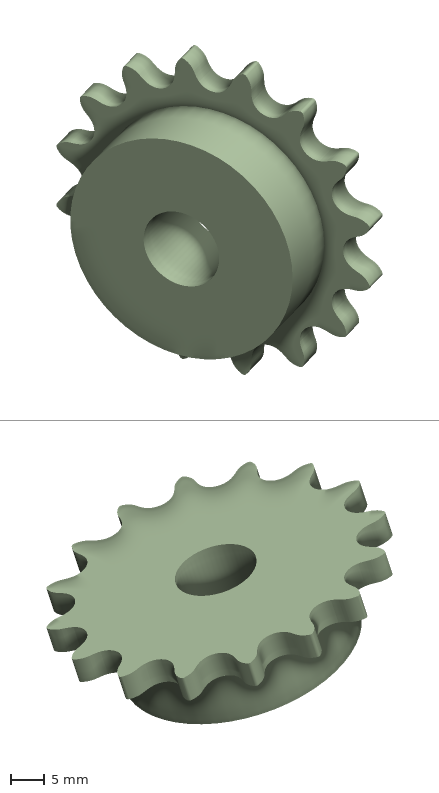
import cadquery as cq
import math


TOOTH_COUNT = 16
TOTAL_WIDTH = 14.8
DISC_WIDTH = 4.25
HUB_DIAMETER = 37.4
BORE_DIAMETER = 12.7

ROOT_RADIUS = 21.85
SEATING_RADIUS = 3.0
WORKING_RADIUS = 4.75
FLANK_LENGTH = 0.7
TOPPING_RADIUS = 3.3
TIP_ROUNDING_RADIUS = 0.55

SEATING_ANGLE = 35 + 60 / TOOTH_COUNT
WORKING_SWEEP = 18 - 56 / TOOTH_COUNT
FLANK_ANGLE = SEATING_ANGLE - WORKING_SWEEP

PITCH_ANGLE = 360 / TOOTH_COUNT
TOOTH_DIRECTION = 90 - PITCH_ANGLE / 2
AXIS = (0, 0)


def polar(center, radius, degrees):
    """Point at the given radius and direction from a center."""
    angle = math.radians(degrees)
    return (center[0] + radius * math.cos(angle), center[1] + radius * math.sin(angle))


def direction(start, end):
    """Direction in degrees from one point to another."""
    return math.degrees(math.atan2(end[1] - start[1], end[0] - start[0]))


def turned(point, degrees):
    """Point rotated about the sprocket axis."""
    return polar(AXIS, math.hypot(*point), direction(AXIS, point) + degrees)


def tip_rounding_center(topping_center):
    """Point on the tooth centerline whose rounding circle touches the topping arc from inside."""
    distance = math.hypot(*topping_center)
    offset = math.radians(direction(AXIS, topping_center) - TOOTH_DIRECTION)
    along = distance * math.cos(offset)
    across = distance * math.sin(offset)
    reach = math.sqrt((TOPPING_RADIUS - TIP_ROUNDING_RADIUS) ** 2 - across**2)
    return polar(AXIS, along + reach, TOOTH_DIRECTION)


def right_side_points():
    """Named points on the right side of the top gap, from its root to the tooth tip."""
    seating_center = (0, ROOT_RADIUS + SEATING_RADIUS)
    working_center = polar(seating_center, WORKING_RADIUS - SEATING_RADIUS, 180 - SEATING_ANGLE)
    working_end = polar(working_center, WORKING_RADIUS, -FLANK_ANGLE)
    flank_end = polar(working_end, FLANK_LENGTH, 90 - FLANK_ANGLE)
    topping_center = polar(flank_end, TOPPING_RADIUS, -FLANK_ANGLE)
    rounding_center = tip_rounding_center(topping_center)
    topping_start_direction = 180 - FLANK_ANGLE
    topping_end_direction = direction(topping_center, rounding_center)
    topping_middle_direction = (topping_start_direction + topping_end_direction) / 2
    working_middle_direction = -(SEATING_ANGLE + FLANK_ANGLE) / 2
    return {
        "root": (0, ROOT_RADIUS),
        "seating_end": polar(seating_center, SEATING_RADIUS, -SEATING_ANGLE),
        "working_middle": polar(working_center, WORKING_RADIUS, working_middle_direction),
        "working_end": working_end,
        "flank_end": flank_end,
        "topping_middle": polar(topping_center, TOPPING_RADIUS, topping_middle_direction),
        "topping_end": polar(topping_center, TOPPING_RADIUS, topping_end_direction),
        "tip": polar(rounding_center, TIP_ROUNDING_RADIUS, TOOTH_DIRECTION),
    }


def toothed_disc():
    """Disc whose rim repeats one gap and one tooth tip per pitch, going clockwise."""
    right_base = right_side_points()
    left_base = {name: (-x, y) for name, (x, y) in right_base.items()}

    outline = cq.Workplane("XZ").moveTo(*left_base["topping_end"])
    for index in range(TOOTH_COUNT):
        turn = -index * PITCH_ANGLE
        left = {name: turned(point, turn) for name, point in left_base.items()}
        right = {name: turned(point, turn) for name, point in right_base.items()}
        next_tooth_start = turned(left["topping_end"], -PITCH_ANGLE)
        outline = (
            outline.threePointArc(left["topping_middle"], left["flank_end"])
            .lineTo(*left["working_end"])
            .threePointArc(left["working_middle"], left["seating_end"])
            .threePointArc(right["root"], right["seating_end"])
            .threePointArc(right["working_middle"], right["working_end"])
            .lineTo(*right["flank_end"])
            .threePointArc(right["topping_middle"], right["topping_end"])
            .threePointArc(right["tip"], next_tooth_start)
        )
    return outline.close().extrude(DISC_WIDTH)


def axle_cylinder(diameter):
    """Cylinder on the axle, reaching from the disc's back to the hub's end."""
    return cq.Workplane("XZ").circle(diameter / 2).extrude(TOTAL_WIDTH)


result = toothed_disc().union(axle_cylinder(HUB_DIAMETER)).cut(axle_cylinder(BORE_DIAMETER))